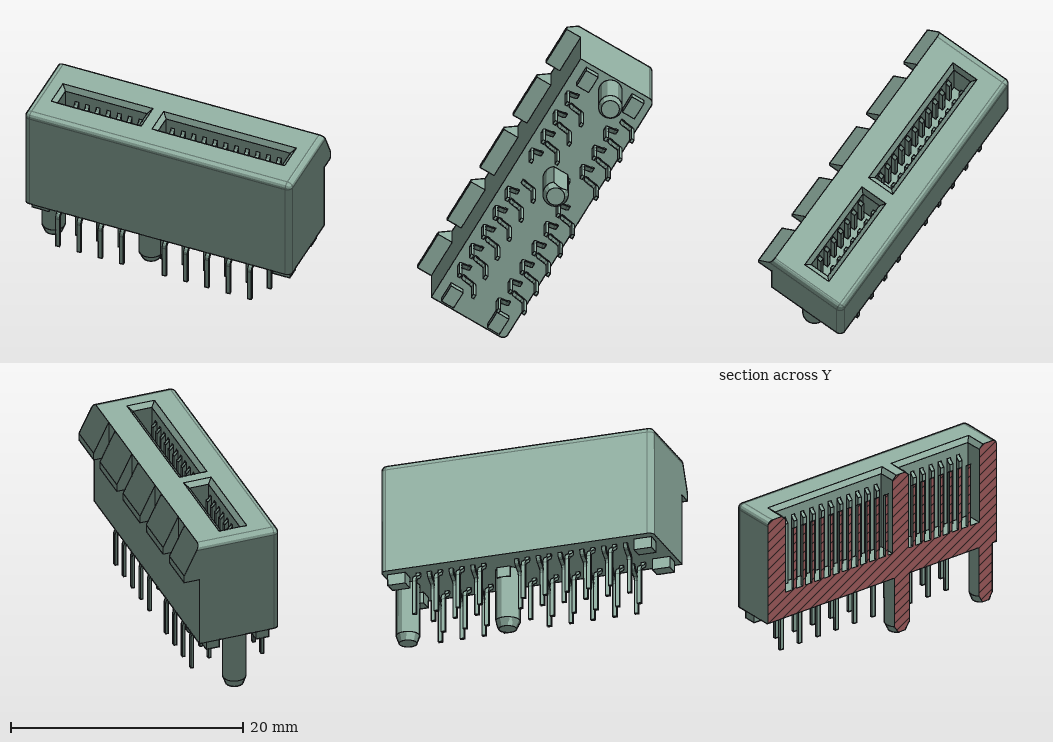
import cadquery as cq
import math


length = 25.0
depth = 7.4
height = 10.0
edge_radius = 0.5
front_y = -depth / 2
back_y = depth / 2

tooth_reach = 1.4
tooth_pitch = 5.5
tooth_gap = 1.5
tooth_height = 3.5
tooth_slope_drop = 2.82
tooth_bottom_z = height - tooth_height
tooth_slope_end_z = height - tooth_slope_drop
gap_count = 4

slots = [(5.75, 7.65), (17.2, 11.65)]
slot_width = 1.75
slot_floor_z = 2.5
lead_in = 0.4
lead_in_depth = 0.4

pitch = 1.0
first_pin_inset = 3.0
first_pin_x = -length / 2 + first_pin_inset
pin_count = 20
key_positions = (7, 8)
contact_width = 0.35
contact_reach = 0.38
contact_ramp = 0.45
contact_ramp_hollow = 0.05
contact_top_gap = 0.85
contact_top_z = height - lead_in_depth - contact_top_gap

pin_width = 0.35
pin_thickness = 0.25
pin_bottom_z = -4.2
row_y = 2.25
pin_jog = 1.0
jog_angle = math.radians(30)
bend_radius = 0.5

peg_bottom_z = -5.4
peg_tip_length = 0.7
peg_tip_diameter = 1.55
end_peg_inset = 1.2
end_peg_x = -length / 2 + end_peg_inset
end_peg_diameter = 2.05
peg_spacing = 9.15
key_peg_x = end_peg_x + peg_spacing
key_peg_diameter = 2.2
key_peg_flat_distance = 0.85

standoff_length = 1.6
standoff_depth = 1.2
standoff_height = 1.0
standoff_inset = 1.2
standoff_x = length / 2 - standoff_inset
standoff_y = 2.3
key_standoff_length = 1.2
key_standoff_depth = key_peg_diameter / 2
key_standoff_height = 0.92


def block(x_size, y_size, z_low, z_high, x, y):
    """Upright box centred on (x, y) between two heights."""
    box = cq.Workplane("XY", origin=(x, y, z_low))
    return box.rect(x_size, y_size).extrude(z_high - z_low)


def make_housing():
    profile = [
        (front_y, 0),
        (back_y, 0),
        (back_y, tooth_bottom_z),
        (back_y + tooth_reach, tooth_bottom_z),
        (back_y + tooth_reach, tooth_slope_end_z),
        (back_y, height),
        (front_y, height),
    ]
    plane = cq.Workplane("YZ", origin=(-length / 2, 0, 0))
    body = plane.polyline(profile).close().extrude(length)
    top_edges = body.faces(">Z").edges("|Y or <Y")
    body = top_edges.add(body.faces("<Y").edges("|Z")).fillet(edge_radius)
    for index in range(gap_count):
        x = (index - (gap_count - 1) / 2) * tooth_pitch
        y = back_y + tooth_reach / 2
        body = body.cut(block(tooth_gap, tooth_reach, tooth_bottom_z, height, x, y))
    return body


def make_slot(centre_from_end, slot_length):
    x = centre_from_end - length / 2
    well = block(slot_length, slot_width, slot_floor_z, height, x, 0)
    mouth = (
        cq.Workplane("XY", origin=(x, 0, height - lead_in_depth))
        .rect(slot_length, slot_width)
        .workplane(offset=lead_in_depth)
        .rect(slot_length + 2 * lead_in, slot_width + 2 * lead_in)
        .loft(ruled=True)
    )
    return well.union(mouth)


def make_contact(x, side):
    """Contact bar on one slot wall, with a slightly hollow ramp at its top."""
    wall_y = side * slot_width / 2
    tip_y = side * (slot_width / 2 - contact_reach)
    profile = (
        cq.Workplane("YZ", origin=(x - contact_width / 2, 0, 0))
        .moveTo(wall_y, slot_floor_z)
        .lineTo(tip_y, slot_floor_z)
        .lineTo(tip_y, contact_top_z - contact_ramp)
        .sagittaArc((wall_y, contact_top_z), -side * contact_ramp_hollow)
        .close()
    )
    return profile.extrude(contact_width)


def make_pin(x, y, direction):
    """Pin that leaves the housing at y and jogs sideways to its solder leg."""
    turn = math.pi / 2 - jog_angle
    bend_y = bend_radius * (1 - math.cos(turn))
    bend_z = bend_radius * math.sin(turn)
    slope_drop = (pin_jog - 2 * bend_y) * math.tan(jog_angle)
    path = (
        cq.Workplane("YZ", origin=(x, y, 0))
        .radiusArc((direction * bend_y, -bend_z), -direction * bend_radius)
        .lineTo(direction * (pin_jog - bend_y), -bend_z - slope_drop)
        .radiusArc((direction * pin_jog, -2 * bend_z - slope_drop), direction * bend_radius)
        .lineTo(direction * pin_jog, pin_bottom_z)
    )
    section = cq.Workplane("XY", origin=(x, y, 0)).rect(pin_width, pin_thickness)
    return section.sweep(path)


def make_peg(x, diameter):
    shank_end_z = peg_bottom_z + peg_tip_length
    shank = cq.Workplane("XY", origin=(x, 0, 0)).circle(diameter / 2).extrude(shank_end_z)
    tip = (
        cq.Workplane("XY", origin=(x, 0, shank_end_z))
        .circle(diameter / 2)
        .workplane(offset=-peg_tip_length)
        .circle(peg_tip_diameter / 2)
        .loft()
    )
    return shank.union(tip)


result = make_housing()
for centre_from_end, slot_length in slots:
    result = result.cut(make_slot(centre_from_end, slot_length))

for index in range(pin_count):
    if index in key_positions:
        continue
    x = first_pin_x + index * pitch
    jog_sign = 1 if index % 2 == 0 else -1
    for side in (-1, 1):
        result = result.union(make_contact(x, side))
        result = result.union(make_pin(x, side * row_y, side * jog_sign))

result = result.union(make_peg(end_peg_x, end_peg_diameter))
flat_cut = block(
    key_peg_diameter, key_peg_diameter, peg_bottom_z, 0,
    key_peg_x - key_peg_flat_distance - key_peg_diameter / 2, 0,
)
result = result.union(make_peg(key_peg_x, key_peg_diameter).cut(flat_cut))

for x in (-standoff_x, standoff_x):
    for y in (-standoff_y, standoff_y):
        result = result.union(block(standoff_length, standoff_depth, -standoff_height, 0, x, y))
key_standoff = block(
    key_standoff_length, key_standoff_depth, -key_standoff_height, 0,
    key_peg_x, -key_standoff_depth / 2,
)
result = result.union(key_standoff)